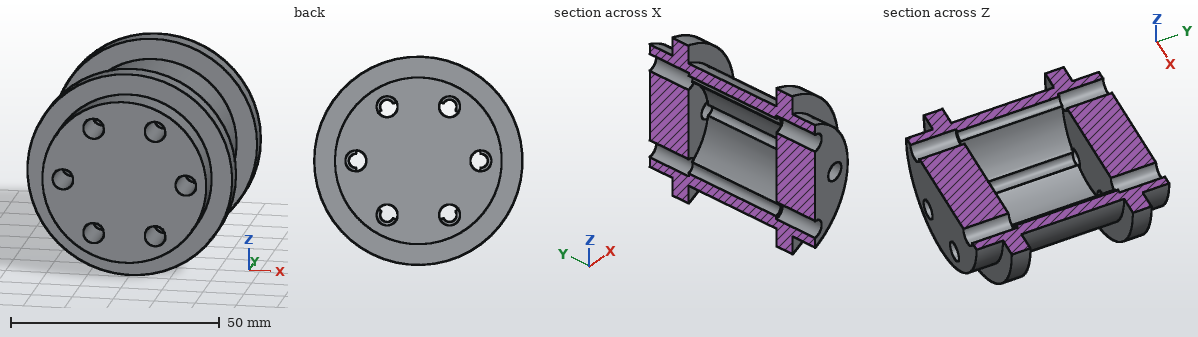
import cadquery as cq

length = 51.0
body_diameter = 40.0
flange_diameter = 50.0
flange_thickness = 5.0
end_boss_length = 7.0

end_thickness = end_boss_length + flange_thickness
cavity_length = length - 2 * end_thickness
cavity_diameter = 30.0

bolt_count = 6
bolt_circle_radius = cavity_diameter / 2
clearance_diameter = 5.0
wall_hole_diameter = 3.25


def cylinder_along_y(diameter, height, y_start):
    """Cylinder on the Y axis, running from y_start toward +Y."""
    plane = cq.Plane(origin=(0, y_start, 0), xDir=(1, 0, 0), normal=(0, 1, 0))
    return cq.Workplane(plane).circle(diameter / 2).extrude(height)


def bolt_cylinders(diameter, height, y_start):
    """Ring of cylinders on the bolt circle, the first one on the X axis."""
    plane = cq.Plane(origin=(0, y_start, 0), xDir=(1, 0, 0), normal=(0, 1, 0))
    ring = cq.Workplane(plane).polarArray(bolt_circle_radius, 0, 360, bolt_count)
    return ring.circle(diameter / 2).extrude(height)


front_face = -length / 2
cavity_front = front_face + end_thickness
cavity_back = cavity_front + cavity_length

result = cylinder_along_y(body_diameter, length, front_face)
for flange_start in (cavity_front - flange_thickness, cavity_back):
    result = result.union(cylinder_along_y(flange_diameter, flange_thickness, flange_start))

result = result.cut(cylinder_along_y(cavity_diameter, cavity_length, cavity_front))

result = result.cut(bolt_cylinders(wall_hole_diameter, length, front_face))

for end_start in (front_face, cavity_back):
    result = result.cut(bolt_cylinders(clearance_diameter, end_thickness, end_start))